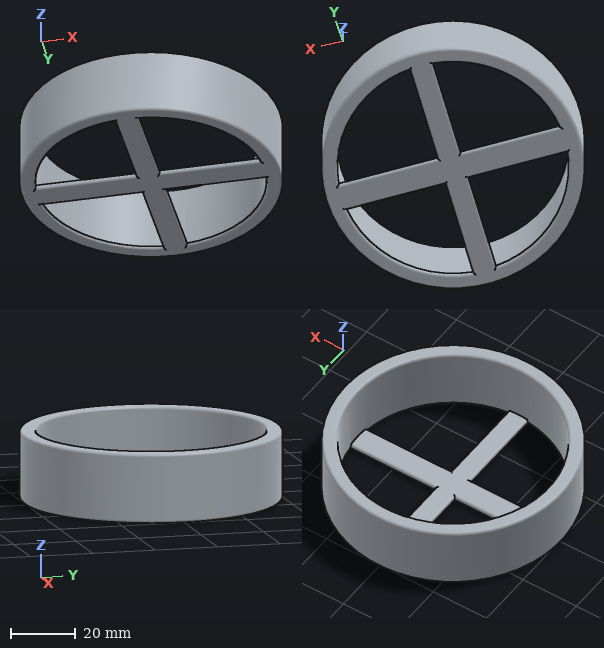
import cadquery as cq

outer_diameter = 81.5
inner_diameter = 71.5
height = 22.0
ring_edge_radius = 1.0

x_bar_width = 8.7
y_bar_width = 7.3
bar_thickness = 2.0
bar_edge_radius = 0.8

bar_length = (outer_diameter + inner_diameter) / 2


def make_ring():
    """Plain tube with every circular edge rounded."""
    tube = cq.Workplane("XY").circle(outer_diameter / 2).circle(inner_diameter / 2).extrude(height)
    return tube.edges("%CIRCLE").fillet(ring_edge_radius)


def make_bar(x_size, y_size):
    """Flat bar resting on the bottom plane of the ring."""
    return cq.Workplane("XY").box(x_size, y_size, bar_thickness, centered=(True, True, False))


def make_cross():
    """Two crossing bars with rounded top and bottom edges, trimmed to stay inside the ring wall."""
    cross = make_bar(bar_length, x_bar_width).union(make_bar(y_bar_width, bar_length))
    return cross.faces(">Z or <Z").edges().fillet(bar_edge_radius)


result = make_ring().union(make_cross())